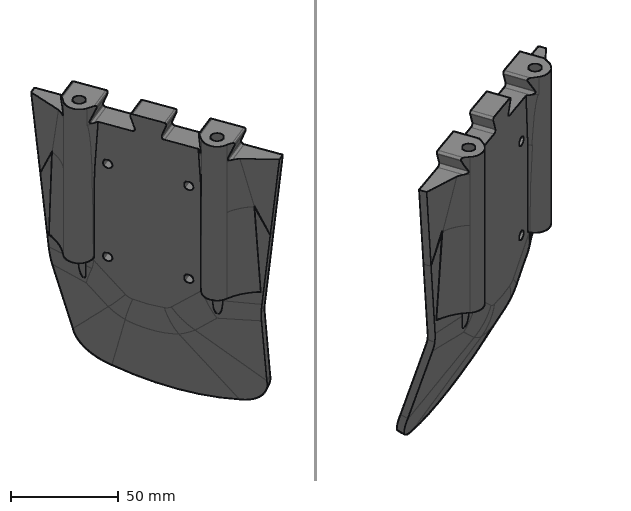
import cadquery as cq
import math

TOP_WIDTH = 126.45
TOTAL_HEIGHT = 179.57
BLADE_RISE = 24.45
BEND_ANGLE = 17.7
EDGE_THICKNESS = 4.0
CORE_THICKNESS = 12.0
BEND_RADIUS = 39.0
BACK_BEND_RADIUS = 20.0

ROD_SPACING = 70.2
ROD_RADIUS = 7.5
ROD_LENGTH = 89.4
PIN_HOLE_DIAMETER = 6.25
TAIL_HEIGHT = 9.8
TAIL_TOP_WIDTH = 19.4
TAIL_NECK_WIDTH = 12.4
TAIL_ROOT_RADIUS = 1.4
TAIL_TIP_RADIUS = 1.1

SCREW_DIAMETER = 4.76
SCREW_SPACING_X = 41.3
SCREW_SPACING_Z = 54.0
SCREW_TOP_DEPTH = 32.8

BEND_WIDTH = 107.6
BLADE_END_WIDTH = 98.8
BLADE_SIDE_LENGTH = 53.6
BLADE_TIP_HALF_WIDTH = 32.6
BLADE_TIP_SAG = 5.2
CORNER_BULGE = 4.7

CORE_HALF_WIDTH = 28.0
CORE_DIAGONAL_END = (17.3, -10.6)
CORE_CORNER_MID = (14.1, -12.75)
CORE_END_START = (10.8, -14.3)
CORE_DEPTH = 15.7

WEB_FOOT_TOP = (46.2, 11.1)
WEB_FOOT_KINK = (51.5, 6.5)
WEB_FOOT_END = (53.9, 4.5)
WEB_TOUCH_ANGLE = 30.0
KINK_DEPTH = 29.3
WING_END_DEPTH = 45.5
INNER_FOOT_TOP = 9.6
INNER_FOOT_KINK = 7.8
INNER_FOOT_END = 7.55
WEB_ROOT = 2.0

TOLERANCE = 0.01

bend = math.radians(BEND_ANGLE)
blade_length = BLADE_RISE / math.sin(bend)
blade_drop = blade_length * math.cos(bend) + EDGE_THICKNESS * math.sin(bend)
top_z = TOTAL_HEIGHT - blade_drop
shoulder_z = top_z - TAIL_HEIGHT
rod_end_z = top_z - ROD_LENGTH
rod_x = ROD_SPACING / 2
front_bend_z = -EDGE_THICKNESS * math.tan(bend / 2)
tip_v = blade_length - BLADE_TIP_SAG
side_taper = (TOP_WIDTH - BEND_WIDTH) / 2 / shoulder_z


def edge_x(z):
    """Distance of the plate's side edge from the centre plane."""
    return BEND_WIDTH / 2 + side_taper * z


def blade_point(x, v, thickness):
    """Point on the blade: v runs down the blade from the bend, thickness is off the back face."""
    y = v * math.sin(bend) - thickness * math.cos(bend)
    z = -v * math.cos(bend) - thickness * math.sin(bend)
    return cq.Vector(x, y, z)


def mirrored_wire(points, corner_mid, end_mid):
    """Closed wire: side, corner arc and half end given on +X, then mirrored onto -X."""
    def flip(p):
        return cq.Vector(-p.x, p.y, p.z)

    start, side_end, corner_end = points
    edges = [
        cq.Edge.makeLine(start, side_end),
        cq.Edge.makeThreePointArc(side_end, corner_mid, corner_end),
        cq.Edge.makeThreePointArc(corner_end, end_mid, flip(corner_end)),
        cq.Edge.makeThreePointArc(flip(corner_end), flip(corner_mid), flip(side_end)),
        cq.Edge.makeLine(flip(side_end), flip(start)),
        cq.Edge.makeLine(flip(start), start),
    ]
    return cq.Wire.assembleEdges(edges)


def blade_wire(thickness):
    """Blade outline on the surface that lies `thickness` off the back face."""
    half_end = BLADE_END_WIDTH / 2
    chord_x = half_end - BLADE_TIP_HALF_WIDTH
    chord_v = tip_v - BLADE_SIDE_LENGTH
    chord = math.hypot(chord_x, chord_v)
    mid_x = half_end - chord_x / 2 + CORNER_BULGE * chord_v / chord
    mid_v = BLADE_SIDE_LENGTH + chord_v / 2 + CORNER_BULGE * chord_x / chord
    start_v = -thickness * math.tan(bend / 2)
    points = [
        blade_point(edge_x(start_v), start_v, thickness),
        blade_point(half_end, BLADE_SIDE_LENGTH, thickness),
        blade_point(BLADE_TIP_HALF_WIDTH, tip_v, thickness),
    ]
    corner_mid = blade_point(mid_x, mid_v, thickness)
    end_mid = blade_point(0, blade_length, thickness)
    return mirrored_wire(points, corner_mid, end_mid)


def core_wire():
    """Lower outline of the raised core, closed along the bend."""
    def at(x, z):
        return cq.Vector(x, -CORE_THICKNESS, z)

    points = [at(CORE_HALF_WIDTH, front_bend_z), at(*CORE_DIAGONAL_END), at(*CORE_END_START)]
    return mirrored_wire(points, at(*CORE_CORNER_MID), at(0, -CORE_DEPTH))


def ruled_solid(*wires):
    """Solid with straight-ruled faces through the given closed wires."""
    return cq.Workplane(obj=cq.Solid.makeLoft(list(wires), True))


def polygon_wire(points):
    return cq.Wire.makePolygon([cq.Vector(*p) for p in points], close=True)


def plate_wire(thickness, top_half_width, bend_half_width):
    """Four-sided section of the straight plate, parallel to its back face."""
    bend_z = max(-thickness * math.tan(bend / 2), front_bend_z)
    return polygon_wire([
        (top_half_width, -thickness, top_z),
        (bend_half_width, -thickness, bend_z),
        (-bend_half_width, -thickness, bend_z),
        (-top_half_width, -thickness, top_z),
    ])


def is_rounded(edge):
    """True for the core edges below the bend and the creases beside the core at the bend."""
    start, end = edge.startPoint(), edge.endPoint()
    on_core = all(abs(p.y + CORE_THICKNESS) < TOLERANCE for p in (start, end))
    below_plate = max(start.z, end.z) < 0
    at_bend = all(abs(p.z - front_bend_z) < TOLERANCE for p in (start, end))
    climbs = abs(start.y - end.y) > EDGE_THICKNESS
    return (on_core and below_plate) or (at_bend and climbs)


def make_body():
    """Edge sheet plus raised core, plate and blade joined at the bend."""
    plate_back = plate_wire(0, edge_x(top_z), edge_x(0))
    plate_front = plate_wire(EDGE_THICKNESS, edge_x(top_z), edge_x(front_bend_z))
    plate_core = plate_wire(CORE_THICKNESS, CORE_HALF_WIDTH, CORE_HALF_WIDTH)
    blade_front = blade_wire(EDGE_THICKNESS)
    body = ruled_solid(plate_back, plate_front)
    body = body.union(ruled_solid(plate_front, plate_core))
    body = body.union(ruled_solid(blade_wire(0), blade_front))
    body = body.union(ruled_solid(blade_front, core_wire())).clean()
    rounded = [edge for edge in body.edges().vals() if is_rounded(edge)]
    body = body.newObject(rounded).fillet(BEND_RADIUS)
    back_crease = cq.selectors.BoxSelector(
        (-TOP_WIDTH, -TOLERANCE, -TOLERANCE),
        (TOP_WIDTH, TOLERANCE, TOLERANCE),
    )
    return body.edges("|X").edges(back_crease).fillet(BACK_BEND_RADIUS)


def inner_touch_point(offset):
    """Where the line from the inner web foot touches the front of the rod."""
    angle = math.acos(ROD_RADIUS / offset)
    return rod_x - ROD_RADIUS * math.cos(angle), -CORE_THICKNESS - ROD_RADIUS * math.sin(angle)


def web_wire(z, outer_foot, inner_offset):
    """Section of the webs beside a rod: a hollow arc on the outside, a straight flank inside."""
    touch = math.radians(WEB_TOUCH_ANGLE)
    inner_x = rod_x - inner_offset
    outer = cq.Vector(outer_foot[0], -outer_foot[1], z)
    outer_touch = cq.Vector(
        rod_x + ROD_RADIUS * math.cos(touch),
        -CORE_THICKNESS - ROD_RADIUS * math.sin(touch),
        z,
    )
    rod_direction = cq.Vector(math.sin(touch), math.cos(touch), 0)
    corners = [
        outer_touch,
        cq.Vector(*inner_touch_point(inner_offset), z),
        cq.Vector(inner_x, -CORE_THICKNESS, z),
        cq.Vector(inner_x, -WEB_ROOT, z),
        cq.Vector(outer.x, -WEB_ROOT, z),
        outer,
    ]
    edges = [cq.Edge.makeLine(start, end) for start, end in zip(corners, corners[1:])]
    hollow = cq.Edge.makeTangentArc(outer_touch, rod_direction, outer)
    return cq.Wire.assembleEdges(edges + [hollow])


def make_rod():
    """The +X hinge rod with its webs."""
    kink_z = shoulder_z - KINK_DEPTH
    rod = (
        cq.Workplane("XY", origin=(rod_x, -CORE_THICKNESS, rod_end_z))
        .circle(ROD_RADIUS)
        .extrude(ROD_LENGTH)
    )
    webs = ruled_solid(
        web_wire(rod_end_z, WEB_FOOT_END, INNER_FOOT_END),
        web_wire(kink_z, WEB_FOOT_KINK, INNER_FOOT_KINK),
        web_wire(shoulder_z, WEB_FOOT_TOP, INNER_FOOT_TOP),
        web_wire(top_z, WEB_FOOT_TOP, INNER_FOOT_TOP),
    )
    return rod.union(webs)


def make_wing():
    """The +X wedge between the side edge and the rod web, fading out down the edge."""
    def section(outer_z, inner_foot, inner_z):
        outer_x = edge_x(outer_z)
        inner_x, inner_thickness = inner_foot
        return polygon_wire([
            (outer_x, -EDGE_THICKNESS, outer_z),
            (inner_x, -inner_thickness, inner_z),
            (inner_x, 0, inner_z),
            (outer_x, 0, outer_z),
        ])

    return ruled_solid(
        section(shoulder_z, WEB_FOOT_TOP, shoulder_z),
        section(shoulder_z - WING_END_DEPTH, WEB_FOOT_KINK, shoulder_z - KINK_DEPTH),
    )


def make_envelope():
    """Everything below the shoulder plus the three dovetail tails, cut straight through in Y."""
    depth = CORE_THICKNESS + ROD_RADIUS + BLADE_RISE
    half_top, half_neck = TAIL_TOP_WIDTH / 2, TAIL_NECK_WIDTH / 2
    envelope = (
        cq.Workplane("XZ", origin=(0, 0, shoulder_z - TOTAL_HEIGHT / 2))
        .rect(TOP_WIDTH, TOTAL_HEIGHT)
        .extrude(depth, both=True)
    )
    for x in (-rod_x, 0, rod_x):
        tail = (
            cq.Workplane("XZ", origin=(x, 0, 0))
            .moveTo(-half_neck, shoulder_z)
            .lineTo(-half_top, top_z)
            .lineTo(half_top, top_z)
            .lineTo(half_neck, shoulder_z)
            .close()
            .extrude(depth, both=True)
            .edges("|Y and >Z")
            .fillet(TAIL_TIP_RADIUS)
        )
        envelope = envelope.union(tail)
    roots = cq.selectors.BoxSelector(
        (-rod_x - half_top, -depth, shoulder_z - TOLERANCE),
        (rod_x + half_top, depth, shoulder_z + TOLERANCE),
    )
    return envelope.edges("|Y").edges(roots).fillet(TAIL_ROOT_RADIUS)


def make_pin_holes():
    """Full-length pin bores; below the rods they leave half-round grooves in the core."""
    return (
        cq.Workplane("XY", origin=(0, -CORE_THICKNESS, -CORE_DEPTH))
        .pushPoints([(-rod_x, 0), (rod_x, 0)])
        .circle(PIN_HOLE_DIAMETER / 2)
        .extrude(top_z + CORE_DEPTH)
    )


def make_screw_holes():
    row_centre_z = top_z - SCREW_TOP_DEPTH - SCREW_SPACING_Z / 2
    return (
        cq.Workplane("XZ", origin=(0, 0, row_centre_z))
        .rarray(SCREW_SPACING_X, SCREW_SPACING_Z, 2, 2)
        .circle(SCREW_DIAMETER / 2)
        .extrude(CORE_THICKNESS)
    )


side = make_wing().union(make_rod())
result = make_body().union(side).union(side.mirror("YZ"))
result = result.intersect(make_envelope())
result = result.cut(make_pin_holes()).cut(make_screw_holes())